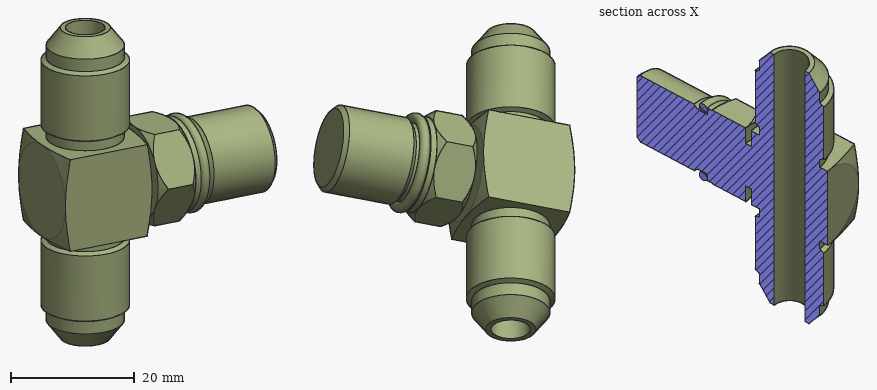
import cadquery as cq
import math

block_width = 15.9
block_half = block_width / 2
block_chamfer_angle = 15.0

run_half_length = 26.85
bore_diameter = 6.4
flare_tip_diameter = 8.1
flare_diameter = 12.7
flare_base = 23.85
thread_diameter = 14.35
run_thread_end = 21.7
run_thread_start = 9.55
run_thread_chamfer = 0.45

branch_end = 31.75
stub_diameter = 9.25
hex_start = 9.1
hex_end = 16.05
hex_corner_diameter = 18.3
hex_flats = hex_corner_diameter * math.cos(math.pi / 6)
hex_chamfer_angle = 45.0
collar_diameter = 15.7
branch_neck_diameter = 12.9
branch_thread_start = 19.05
branch_chamfer = (thread_diameter - branch_neck_diameter) / 2

ring_outer_diameter = 16.4
ring_section_radius = (ring_outer_diameter - branch_neck_diameter) / 4
ring_center_radius = branch_neck_diameter / 2 + ring_section_radius
ring_position = 17.95
collar_end = ring_position - ring_section_radius


def rod_along_y(diameter, start, end):
    """Cylinder on the Y axis between two Y positions."""
    return cq.Workplane("XZ", origin=(0, start, 0)).circle(diameter / 2).extrude(start - end)


def cone_ended_envelope(flats, corners, start, end, angle):
    """Turned shape about Y whose conical ends trim the corners of a prism.

    Each end face is a circle across the flats; the cone drops by the given angle out to the corners.
    """
    drop = (corners - flats) / 2 * math.tan(math.radians(angle))
    return (
        cq.Workplane("XY")
        .moveTo(0, start)
        .lineTo(flats / 2, start)
        .lineTo(corners / 2, start + drop)
        .lineTo(corners / 2, end - drop)
        .lineTo(flats / 2, end)
        .lineTo(0, end)
        .close()
        .revolve(360, (0, 0, 0), (0, 1, 0))
    )


def make_block():
    cube = cq.Workplane("XY").box(block_width, block_width, block_width)
    envelope = cone_ended_envelope(
        block_width, block_width * math.sqrt(2), -block_half, block_half, block_chamfer_angle
    )
    return cube.intersect(envelope)


def make_run_end():
    """Upper flared tube end with its thread, from the block centre to the tip."""
    flare_radius = flare_diameter / 2
    thread_radius = thread_diameter / 2
    return (
        cq.Workplane("XZ")
        .moveTo(0, 0)
        .lineTo(flare_radius, 0)
        .lineTo(flare_radius, run_thread_start)
        .lineTo(thread_radius, run_thread_start + run_thread_chamfer)
        .lineTo(thread_radius, run_thread_end - run_thread_chamfer)
        .lineTo(flare_radius, run_thread_end)
        .lineTo(flare_radius, flare_base)
        .lineTo(flare_tip_diameter / 2, run_half_length)
        .lineTo(0, run_half_length)
        .close()
        .revolve(360, (0, 0, 0), (0, 1, 0))
    )


def make_hex():
    """Hexagon with corners on +X and -X and chamfered at both ends."""
    prism = (
        cq.Workplane("XZ", origin=(0, hex_start, 0))
        .polygon(6, hex_corner_diameter)
        .extrude(hex_start - hex_end)
    )
    envelope = cone_ended_envelope(
        hex_flats, hex_corner_diameter, hex_start, hex_end, hex_chamfer_angle
    )
    return prism.intersect(envelope)


def make_branch():
    stub = rod_along_y(stub_diameter, 0, hex_start)
    collar = rod_along_y(collar_diameter, hex_end, collar_end)
    neck = rod_along_y(branch_neck_diameter, collar_end, branch_thread_start)
    thread = rod_along_y(thread_diameter, branch_thread_start, branch_end)
    thread = thread.faces("<Y or >Y").chamfer(branch_chamfer)
    return stub.union(make_hex()).union(collar).union(neck).union(thread)


def make_fitting():
    upper_end = make_run_end()
    lower_end = upper_end.mirror("XY")
    bore = cq.Workplane("XY").circle(bore_diameter / 2).extrude(run_half_length, both=True)
    return make_block().union(upper_end).union(lower_end).union(make_branch()).cut(bore)


def make_sealing_ring():
    """Torus around the Y axis that rests on the neck and against the collar."""
    center = cq.Vector(0, ring_position, 0)
    axis = cq.Vector(0, 1, 0)
    return cq.Solid.makeTorus(ring_center_radius, ring_section_radius, center, axis)


fitting = make_fitting()
sealing_ring = make_sealing_ring()

result = cq.Compound.makeCompound([fitting.solids().val(), sealing_ring])